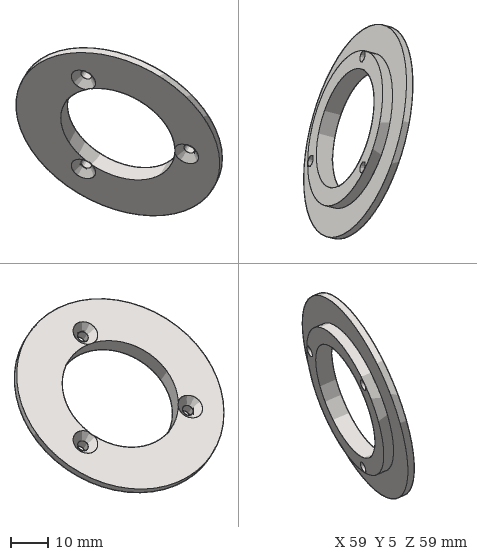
import cadquery as cq

flange_diameter = 59.0
flange_thickness = 2.0
spigot_diameter = 43.0
total_thickness = 5.0
bore_diameter = 33.0

screw_count = 3
screw_circle_radius = 19.875
screw_hole_diameter = 3.0
countersink_diameter = 7.0
countersink_angle = 90.0


def make_ring_body():
    """Flange with a spigot behind it; the axis runs along Y, flange face at Y = 0."""
    flange = cq.Workplane("XZ").circle(flange_diameter / 2).extrude(-flange_thickness)
    spigot = cq.Workplane("XZ").circle(spigot_diameter / 2).extrude(-total_thickness)
    return flange.union(spigot)


def cut_bore(body):
    """Central through bore."""
    bore = cq.Workplane("XZ").circle(bore_diameter / 2).extrude(-total_thickness)
    return body.cut(bore)


def cut_screw_holes(body):
    """Countersunk through holes, sunk from the flange face, the first one on +X."""
    return (
        body.faces("<Y")
        .workplane(origin=(0, 0, 0))
        .polarArray(screw_circle_radius, 0, 360, screw_count)
        .cskHole(screw_hole_diameter, countersink_diameter, countersink_angle)
    )


result = cut_screw_holes(cut_bore(make_ring_body()))